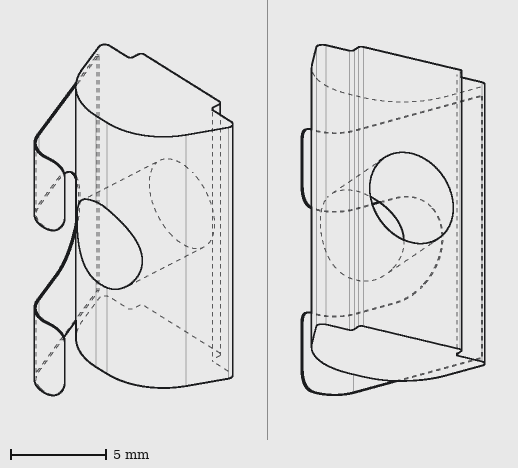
import cadquery as cq
import math

nut_length = 16.0
nut_depth = 5.7
tongue_width = 6.29
tongue_height = 0.8
tongue_radius = 0.2
wing_radius = 0.34
flank_angle = math.radians(65)
belly_radius = 4.0
belly_flat_width = 0.9
hole_diameter = 5.1

spring_length = 15.0
spring_thickness = 0.1
spring_top_y = -1.31
bend_inner_radius = 1.76
bend_center_y = -7.94
tip_angle = math.radians(40)
tip_corner_radius = 0.96
notch_width = 6.0
notch_bottom_y = -3.6

belly_flat_half = belly_flat_width / 2
flank_end_x = belly_flat_half + belly_radius * math.sin(flank_angle)
flank_end_y = -nut_depth + belly_radius * (1 - math.cos(flank_angle))
wing_x = flank_end_x + (-tongue_height - flank_end_y) / math.tan(flank_angle)


def flank_x(y):
    """X of the -X flank plane at height y."""
    return -wing_x - (y + tongue_height) / math.tan(flank_angle)


def make_nut():
    tongue_half = tongue_width / 2
    arc_middle_x = belly_flat_half + belly_radius * math.sin(flank_angle / 2)
    arc_middle_y = -nut_depth + belly_radius * (1 - math.cos(flank_angle / 2))
    body = (
        cq.Workplane("XY")
        .moveTo(-tongue_half, 0)
        .lineTo(tongue_half, 0)
        .lineTo(tongue_half, -tongue_height)
        .lineTo(wing_x, -tongue_height)
        .lineTo(flank_end_x, flank_end_y)
        .threePointArc((arc_middle_x, arc_middle_y), (belly_flat_half, -nut_depth))
        .lineTo(-belly_flat_half, -nut_depth)
        .threePointArc((-arc_middle_x, arc_middle_y), (-flank_end_x, flank_end_y))
        .lineTo(-wing_x, -tongue_height)
        .lineTo(-tongue_half, -tongue_height)
        .close()
        .extrude(nut_length / 2, both=True)
    )

    def edges_at(x, y):
        margin = 0.02
        box = cq.selectors.BoxSelector(
            (x - margin, y - margin, -nut_length),
            (x + margin, y + margin, nut_length),
        )
        return body.edges("|Z").edges(box)

    for side in (-1, 1):
        for y in (0, -tongue_height):
            body = edges_at(side * tongue_half, y).fillet(tongue_radius)
        body = edges_at(side * wing_x, -tongue_height).fillet(wing_radius)

    hole = (
        cq.Workplane("XZ")
        .circle(hole_diameter / 2)
        .extrude(nut_depth)
    )
    return body.cut(hole)


def make_spring():
    bend_outer_radius = bend_inner_radius + spring_thickness
    bend_start_y = bend_center_y - bend_inner_radius * math.cos(flank_angle)
    bend_center_x = flank_x(bend_start_y) + bend_inner_radius * math.sin(flank_angle)

    def bend_point(radius, angle):
        """Point on the bend; the angle is zero at its lowest point."""
        return (
            bend_center_x + radius * math.sin(angle),
            bend_center_y - radius * math.cos(angle),
        )

    top_inner = (flank_x(spring_top_y), spring_top_y)
    top_outer = (
        top_inner[0] - spring_thickness * math.sin(flank_angle),
        top_inner[1] - spring_thickness * math.cos(flank_angle),
    )
    sheet = (
        cq.Workplane("XY")
        .moveTo(*top_inner)
        .lineTo(*bend_point(bend_inner_radius, -flank_angle))
        .threePointArc(bend_point(bend_inner_radius, 0), bend_point(bend_inner_radius, tip_angle))
        .lineTo(*bend_point(bend_outer_radius, tip_angle))
        .threePointArc(bend_point(bend_outer_radius, 0), bend_point(bend_outer_radius, -flank_angle))
        .lineTo(*top_outer)
        .close()
        .extrude(spring_length / 2, both=True)
    )

    flank_plane = cq.Plane(
        origin=(flank_x(notch_bottom_y), notch_bottom_y, 0),
        xDir=(math.cos(flank_angle), -math.sin(flank_angle), 0),
        normal=(-math.sin(flank_angle), -math.cos(flank_angle), 0),
    )
    notch_radius = notch_width / 2
    notch_reach = nut_length
    notch = (
        cq.Workplane(flank_plane)
        .moveTo(notch_radius, -notch_radius)
        .threePointArc((0, 0), (notch_radius, notch_radius))
        .lineTo(notch_reach, notch_radius)
        .lineTo(notch_reach, -notch_radius)
        .close()
        .extrude(nut_depth, both=True)
    )
    spring = sheet.cut(notch)

    tip_x, tip_y = bend_point(bend_outer_radius, tip_angle)
    tip_plane = cq.Plane(
        origin=(tip_x, tip_y, 0),
        xDir=(math.cos(tip_angle), math.sin(tip_angle), 0),
        normal=(math.sin(tip_angle), -math.cos(tip_angle), 0),
    )
    finger_width = (spring_length - notch_width) / 2
    rounded_length = 3 * tip_corner_radius
    cut_depth = 0.8
    for side in (-1, 1):
        finger_z = side * (notch_width + finger_width) / 2
        corner_strip = (
            cq.Workplane(tip_plane)
            .center(-tip_corner_radius / 2, finger_z)
            .rect(tip_corner_radius, finger_width)
            .extrude(cut_depth, both=True)
        )
        rounded_end = (
            cq.Workplane(tip_plane)
            .center(-rounded_length / 2, finger_z)
            .rect(rounded_length, finger_width)
            .extrude(cut_depth, both=True)
            .edges(cq.selectors.ParallelDirSelector(tip_plane.zDir))
            .fillet(tip_corner_radius)
        )
        spring = spring.cut(corner_strip.cut(rounded_end))
    return spring


nut = make_nut()
spring = make_spring()
result = cq.Compound.makeCompound([nut.val(), spring.solids().val()])